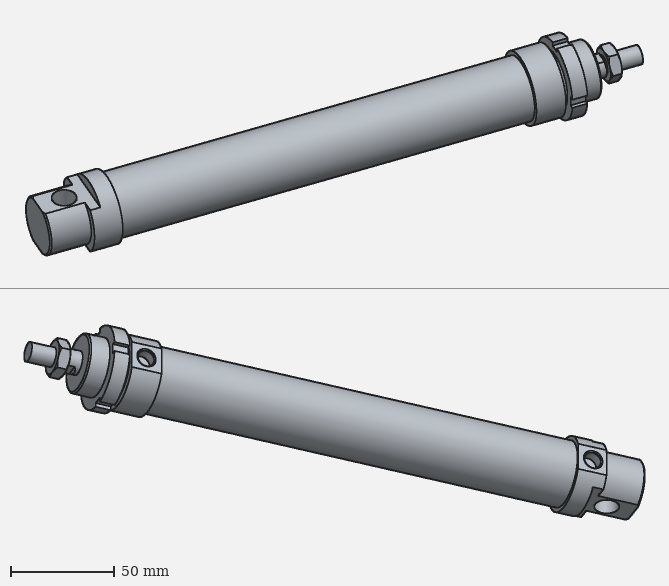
import cadquery as cq
import math


lug_end = 0.0
rear_head_start = 21.7
lug_flat_end = 27.0
rear_head_end = 36.7
front_head_start = 256.0
front_head_end = 271.8
neck_end = 293.0
rod_tip = 319.0

tube_diameter = 33.5
head_diameter = 38.0
neck_diameter = 30.0
lug_diameter = neck_diameter
end_face_diameter = 28.5
end_chamfer = (neck_diameter - end_face_diameter) / 2
lug_thickness = 26.0
lug_hole_diameter = 12.0
lug_hole_y = 14.0
port_flat_width = 14.5
port_mouth_diameter = 10.0
port_diameter = 8.5
port_depth = 6.5
port_offset = 8.0

rod_diameter = 12.0
thread_diameter = 10.0
rod_flat_thickness = thread_diameter
rod_shoulder = 299.2
rod_flat_end = 294.8

rod_nut_start = 300.2
rod_nut_thickness = 6.0
rod_nut_across_flats = 17.0
rod_nut_chamfer_angle = 30

mount_nut_start = 274.3
mount_nut_thickness = 8.0
mount_nut_diameter = 42.0
nut_slot_width = 5.0
nut_slot_depth = 2.2
nut_slot_count = 4


def cylinder(diameter, start, end):
    """Solid cylinder on the Y axis between two stations."""
    plane = cq.Workplane("XZ", origin=(0, start, 0))
    return plane.circle(diameter / 2).extrude(start - end)


def block(size_x, size_z, start, end):
    """Box centred on the Y axis between two stations."""
    plane = cq.Workplane("XZ", origin=(0, start, 0))
    return plane.rect(size_x, size_z).extrude(start - end)


def cut_lug(housing):
    """Flatten the lug above and below, and drill its cross hole."""
    waste = block(2 * head_diameter, 2 * head_diameter, lug_end, lug_flat_end)
    kept = block(2 * head_diameter, lug_thickness, lug_end, lug_flat_end)
    hole = (
        cq.Workplane("XY", origin=(0, lug_hole_y, 0))
        .circle(lug_hole_diameter / 2)
        .extrude(lug_thickness, both=True)
    )
    return housing.cut(waste.cut(kept)).cut(hole)


def cut_port(housing, head_start, head_end, port_y):
    """Flatten the -X side of a head and drill a blind, countersunk air port in the flat."""
    flat_x = -math.sqrt((head_diameter / 2) ** 2 - (port_flat_width / 2) ** 2)
    waste = block(head_diameter, head_diameter, head_start, head_end)
    waste = waste.translate((flat_x - head_diameter / 2, 0, 0))
    port = (
        cq.Workplane("YZ", origin=(flat_x, port_y, 0))
        .circle(port_diameter / 2)
        .extrude(port_depth)
        .faces("<X")
        .workplane(invert=True)
        .circle(port_mouth_diameter / 2)
        .workplane(offset=(port_mouth_diameter - port_diameter) / 2)
        .circle(port_diameter / 2)
        .loft(combine=True)
    )
    return housing.cut(waste).cut(port)


def make_housing():
    """Rear lug, two heads, tube and front neck in one piece."""
    neck = cylinder(neck_diameter, front_head_end, neck_end).faces(">Y").chamfer(end_chamfer)
    lug = cylinder(lug_diameter, lug_end, rear_head_start).faces("<Y").chamfer(end_chamfer)
    housing = (
        cylinder(tube_diameter, rear_head_end, front_head_start)
        .union(cylinder(head_diameter, rear_head_start, rear_head_end))
        .union(cylinder(head_diameter, front_head_start, front_head_end))
        .union(lug)
        .union(neck)
    )
    housing = cut_lug(housing)
    housing = cut_port(housing, rear_head_start, rear_head_end, rear_head_end - port_offset)
    return cut_port(housing, front_head_start, front_head_end, front_head_start + port_offset)


def make_rod():
    """Rod standing on the neck face, with two wrench flats and a thinner threaded end."""
    shank = cylinder(rod_diameter, neck_end, rod_shoulder)
    flat_depth = (rod_diameter - rod_flat_thickness) / 2
    for side in (1, -1):
        flat = (
            cq.Workplane("YZ")
            .moveTo(rod_flat_end, side * rod_diameter / 2)
            .lineTo(rod_flat_end + flat_depth, side * rod_flat_thickness / 2)
            .lineTo(rod_shoulder, side * rod_flat_thickness / 2)
            .lineTo(rod_shoulder, side * rod_diameter / 2)
            .close()
            .extrude(rod_diameter, both=True)
        )
        shank = shank.cut(flat)
    return shank.union(cylinder(thread_diameter, rod_shoulder, rod_tip))


def make_rod_nut():
    """Hexagon nut on the rod thread, corners along X, chamfered on both faces."""
    across_corners = rod_nut_across_flats / math.cos(math.pi / 6)
    end = rod_nut_start + rod_nut_thickness
    hexagon = (
        cq.Workplane("XZ", origin=(0, rod_nut_start, 0))
        .polygon(6, across_corners)
        .extrude(-rod_nut_thickness)
    )
    chamfer_width = (across_corners - rod_nut_across_flats) / 2
    chamfer_height = chamfer_width * math.tan(math.radians(rod_nut_chamfer_angle))
    envelope = (
        cylinder(across_corners, rod_nut_start, end)
        .faces("<Y or >Y")
        .edges()
        .chamfer(chamfer_height, chamfer_width)
    )
    return hexagon.intersect(envelope).cut(cylinder(thread_diameter, rod_nut_start, end))


def make_mount_nut():
    """Round nut on the neck with spanner slots around its rim."""
    end = mount_nut_start + mount_nut_thickness
    nut = cylinder(mount_nut_diameter, mount_nut_start, end)
    nut = nut.cut(cylinder(neck_diameter, mount_nut_start, end))
    slot = block(nut_slot_width, 2 * nut_slot_depth, mount_nut_start, end)
    slot = slot.translate((0, 0, mount_nut_diameter / 2))
    for index in range(nut_slot_count):
        nut = nut.cut(slot.rotate((0, 0, 0), (0, 1, 0), index * 360 / nut_slot_count))
    return nut


housing = make_housing()
rod = make_rod()
rod_nut = make_rod_nut()
mount_nut = make_mount_nut()

result = cq.Compound.makeCompound([housing.val(), rod.val(), rod_nut.val(), mount_nut.val()])